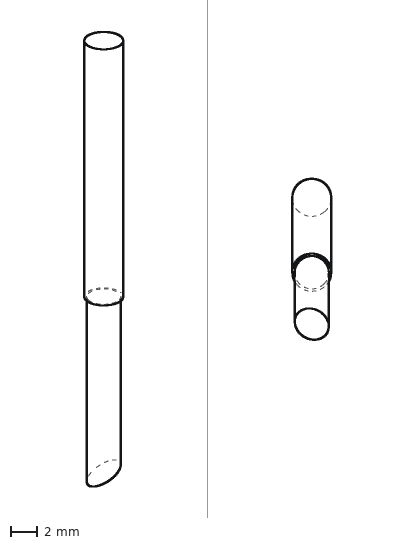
import cadquery as cq
import math

total_length = 37.85
shank_diameter = 3.0
tip_diameter = 2.6
shank_length = 21.95
bevel_angle = 30.0

tip_length = total_length - shank_length
tip_radius = tip_diameter / 2
bevel_height = tip_diameter * math.tan(math.radians(bevel_angle))


def stepped_pin():
    """Thin tip below a thicker shank."""
    tip = cq.Workplane("XY").circle(tip_radius).extrude(tip_length)
    return tip.faces(">Z").workplane().circle(shank_diameter / 2).extrude(shank_length)


def bevel_cutter():
    """Wedge under the slanted end, whose lowest point is on the -Y side."""
    return (
        cq.Workplane("YZ")
        .moveTo(-tip_radius, 0)
        .lineTo(tip_radius, 0)
        .lineTo(tip_radius, bevel_height)
        .close()
        .extrude(tip_radius, both=True)
    )


result = stepped_pin().cut(bevel_cutter())